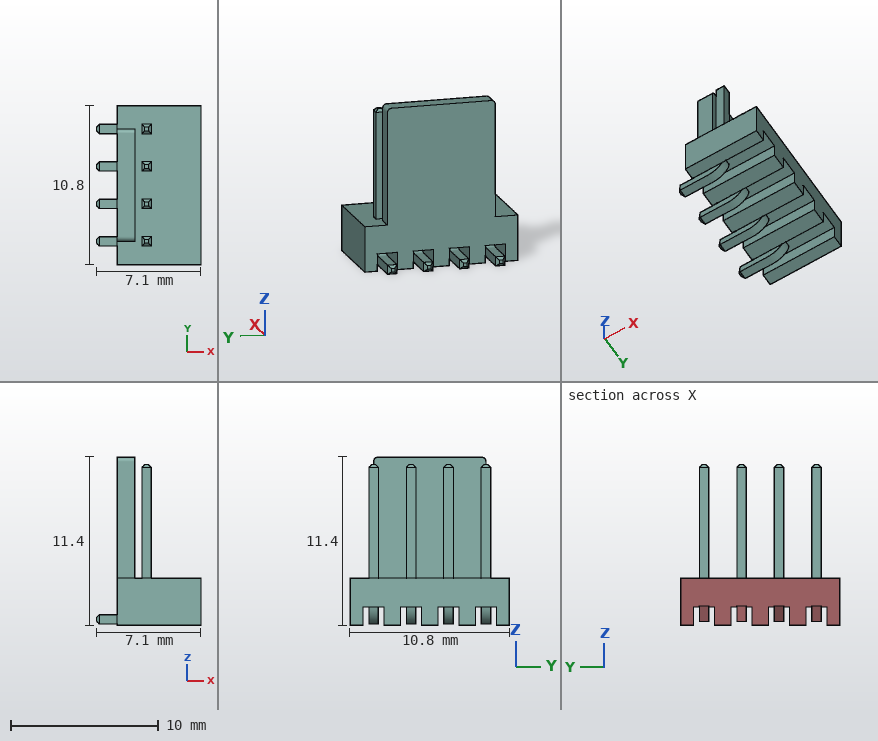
import cadquery as cq

pin_count = 4
pitch = 2.54
pin_size = 0.65
pin_tip_chamfer = 0.2
bend_inner_radius = 0.68
bend_outer_radius = bend_inner_radius + pin_size

housing_length = 10.8
base_depth = 5.7
base_height = 3.2
wall_thickness = 1.2
wall_width = (pin_count - 1) * pitch
wall_top = 11.4
wall_corner_radius = 0.3
slot_width = 1.4
slot_height = 1.225

pin_upright_x = 2.0
pin_leg_z = 0.4
pin_top = 10.9
pin_front_x = -1.4

pin_positions = [(i - (pin_count - 1) / 2) * pitch for i in range(pin_count)]


def make_pin(y):
    """Square right-angle pin: front leg along X, bend, then an upright along Z."""
    leg_bottom = pin_leg_z - pin_size / 2
    leg_top = leg_bottom + pin_size
    back_x = pin_upright_x + pin_size / 2
    inner_x = back_x - pin_size
    pin = (
        cq.Workplane("XZ", origin=(0, y + pin_size / 2, 0))
        .moveTo(pin_front_x, leg_bottom)
        .lineTo(back_x - bend_outer_radius, leg_bottom)
        .radiusArc((back_x, leg_bottom + bend_outer_radius), -bend_outer_radius)
        .lineTo(back_x, pin_top)
        .lineTo(inner_x, pin_top)
        .lineTo(inner_x, leg_top + bend_inner_radius)
        .radiusArc((inner_x - bend_inner_radius, leg_top), bend_inner_radius)
        .lineTo(pin_front_x, leg_top)
        .close()
        .extrude(pin_size)
    )
    return pin.faces("<X").chamfer(pin_tip_chamfer).faces(">Z").chamfer(pin_tip_chamfer)


def make_housing():
    """Base block with its wall, and a slot right through the underside for each pin."""
    base = cq.Workplane("XY").box(base_depth, housing_length, base_height, centered=(False, True, False))
    wall = (
        cq.Workplane("XY")
        .box(wall_thickness, wall_width, wall_top, centered=(False, True, False))
        .edges("|X and >Z")
        .fillet(wall_corner_radius)
    )
    slots = (
        cq.Workplane("XY")
        .pushPoints([(0, y) for y in pin_positions])
        .box(base_depth, slot_width, slot_height, centered=(False, True, False))
    )
    return base.union(wall).cut(slots)


pins = [make_pin(y) for y in pin_positions]

housing = make_housing()
for pin in pins:
    housing = housing.cut(pin)

result = cq.Compound.makeCompound([housing.val(), *[pin.val() for pin in pins]])